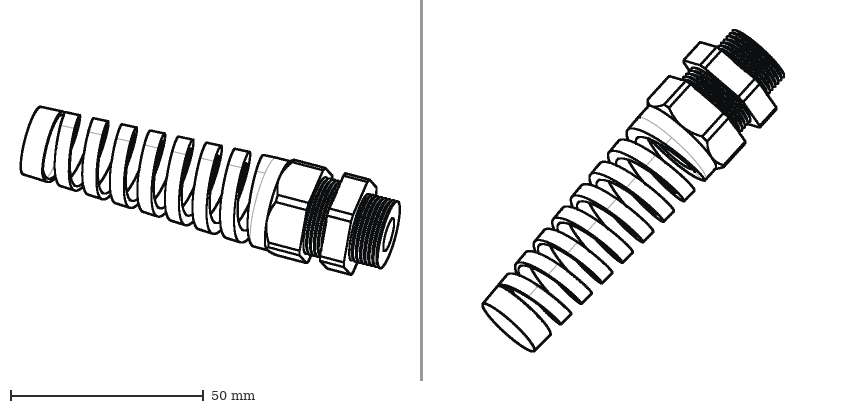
import cadquery as cq
import math


TOTAL_LENGTH = 97.8
END_COLLAR_LENGTH = 6.0
SPRING_END = 63.9
NUT_HEX_START = 67.9
NUT_END = 77.8
BODY_HEX_START = 83.4
BODY_HEX_END = 90.0

ACROSS_FLATS = 23.9
ACROSS_CORNERS = 26.5
NUT_CHAMFER_LENGTH = 1.5

SPRING_TIP_RADIUS = 9.1
SPRING_ROOT_RADIUS = ACROSS_FLATS / 2
SPRING_TIP_BORE_RADIUS = 8.9
COIL_BORE_RADIUS = 8.5
NUT_BORE_RADIUS = 7.8
BODY_BORE_RADIUS = 4.4

COIL_TURNS = 7.56
COIL_PITCH = (SPRING_END - END_COLLAR_LENGTH) / COIL_TURNS
COIL_WIDTH = 3.9
SLOT_CLEARANCE = 1.0
SLOT_INNER_RADIUS = COIL_BORE_RADIUS - SLOT_CLEARANCE
SLOT_OUTER_RADIUS = SPRING_ROOT_RADIUS + SLOT_CLEARANCE

NUT_THREAD_CREST_RADIUS = 10.3
NUT_THREAD_ROOT_RADIUS = 9.6
NUT_THREAD_FIRST_CREST = 78.9
NUT_THREAD_LAST_CREST = 83.1
NUT_THREAD_STEPS = 4
ENTRY_THREAD_CREST_RADIUS = 9.0
ENTRY_THREAD_ROOT_RADIUS = 8.4
ENTRY_THREAD_FIRST_CREST = 91.0
ENTRY_THREAD_STEPS = 6


def turned(outline):
    """Revolve a closed (x, radius) outline about the X axis."""
    return cq.Workplane("XZ").polyline(outline).close().revolve(360, (0, 0, 0), (1, 0, 0))


def cylinder(start, end, radius):
    return cq.Workplane("YZ").workplane(offset=start).circle(radius).extrude(end - start)


def hexagon(start, end):
    """Hexagonal prism with flats at top and bottom and its corners turned round."""
    sharp_corners = ACROSS_FLATS / math.cos(math.pi / 6)
    prism = cq.Workplane("YZ").workplane(offset=start).polygon(6, sharp_corners).extrude(end - start)
    return prism.intersect(cylinder(start, end, ACROSS_CORNERS / 2))


def spring_wall(start, end, start_bore, end_bore):
    """Stretch of the tapered spring wall with the given bore radius at each end."""
    def outer(x):
        return SPRING_TIP_RADIUS + (SPRING_ROOT_RADIUS - SPRING_TIP_RADIUS) * x / SPRING_END

    return turned([(start, start_bore), (start, outer(start)), (end, outer(end)), (end, end_bore)])


def helical_slot():
    """Spiral cutter that passes right through the spring wall and winds up from the end collar.

    It starts half a turn early, entirely inside the end collar's length, so that it
    emerges from the collar's flat rim at the -Y side.
    """
    start = END_COLLAR_LENGTH - COIL_PITCH / 2
    width = COIL_PITCH - COIL_WIDTH
    winding_length = SPRING_END + COIL_PITCH / 4 - start

    def edge(position, radius):
        return cq.Wire.makeHelix(COIL_PITCH, winding_length, radius).translate(cq.Vector(0, 0, position))

    edges = [
        edge(start, SLOT_INNER_RADIUS),
        edge(start, SLOT_OUTER_RADIUS),
        edge(start + width, SLOT_OUTER_RADIUS),
        edge(start + width, SLOT_INNER_RADIUS),
    ]
    faces = [cq.Face.makeRuledSurface(edges[i - 1], edges[i]) for i in range(len(edges))]
    for corners in ([e.startPoint() for e in edges], [e.endPoint() for e in edges]):
        faces.append(cq.Face.makeFromWires(cq.Wire.makePolygon(corners, close=True)))
    cutter = cq.Workplane(obj=cq.Solid.makeSolid(cq.Shell.makeShell(faces)))

    laid_down = cutter.rotate((0, 0, 0), (0, 1, 0), 90)
    return laid_down.rotate((0, 0, 0), (1, 0, 0), 90)


def spring_nut():
    """Cap nut and its strain relief spring in one piece."""
    coil = spring_wall(END_COLLAR_LENGTH, SPRING_END, COIL_BORE_RADIUS, COIL_BORE_RADIUS).cut(helical_slot())
    end_collar = spring_wall(0, END_COLLAR_LENGTH, SPRING_TIP_BORE_RADIUS, COIL_BORE_RADIUS)
    sleeve = cylinder(SPRING_END, NUT_HEX_START, SPRING_ROOT_RADIUS)
    chamfer_end = NUT_HEX_START + NUT_CHAMFER_LENGTH
    blank = turned([
        (NUT_HEX_START, 0),
        (NUT_HEX_START, SPRING_ROOT_RADIUS),
        (chamfer_end, ACROSS_CORNERS / 2),
        (NUT_END, ACROSS_CORNERS / 2),
        (NUT_END, 0),
    ])
    nut = hexagon(NUT_HEX_START, NUT_END).intersect(blank)
    head = sleeve.union(nut).cut(cylinder(SPRING_END, NUT_END, NUT_BORE_RADIUS))
    return end_collar.union(coil).union(head)


def ring_thread(start, end, first_crest, last_crest, steps, crest_radius, root_radius):
    """Solid core carrying evenly spaced V-shaped rings, trimmed to the given length."""
    pitch = (last_crest - first_crest) / steps
    crests = [first_crest + ring * pitch for ring in range(-1, steps + 1)]
    first_root = crests[0] - pitch / 2
    last_root = crests[-1] + pitch / 2
    outline = [(first_root, 0), (first_root, root_radius)]
    for crest in crests:
        outline.append((crest, crest_radius))
        outline.append((crest + pitch / 2, root_radius))
    outline.append((last_root, 0))
    return turned(outline).intersect(cylinder(start, end, ACROSS_CORNERS / 2))


def gland_body():
    """Hexagonal body threaded on both sides, butted against the cap nut."""
    nut_thread = ring_thread(
        NUT_END, BODY_HEX_START,
        NUT_THREAD_FIRST_CREST, NUT_THREAD_LAST_CREST, NUT_THREAD_STEPS,
        NUT_THREAD_CREST_RADIUS, NUT_THREAD_ROOT_RADIUS,
    )
    entry_thread = ring_thread(
        BODY_HEX_END, TOTAL_LENGTH,
        ENTRY_THREAD_FIRST_CREST, TOTAL_LENGTH, ENTRY_THREAD_STEPS,
        ENTRY_THREAD_CREST_RADIUS, ENTRY_THREAD_ROOT_RADIUS,
    )
    solid_body = nut_thread.union(hexagon(BODY_HEX_START, BODY_HEX_END)).union(entry_thread)
    return solid_body.cut(cylinder(NUT_END, TOTAL_LENGTH, BODY_BORE_RADIUS))


nut_with_spring = spring_nut()
threaded_body = gland_body()
result = cq.Compound.makeCompound([nut_with_spring.solids().val(), threaded_body.solids().val()])